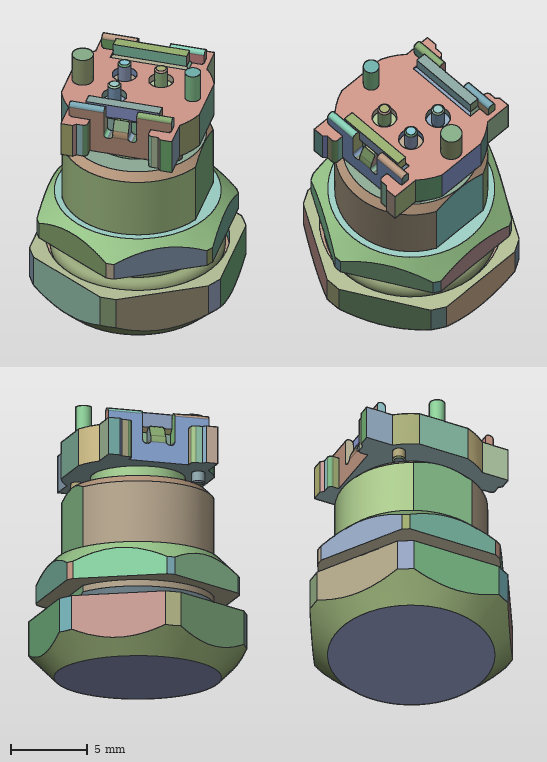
import cadquery as cq
import math

FLANGE_FLATS = 13.0
FLANGE_CORNERS = 14.38
FLANGE_HEIGHT = 4.0
FLANGE_FACE_RADIUS = 5.49

RING_TUBE_RADIUS = 0.63
RING_INNER_RADIUS = 4.5
RING_PROTRUSION = 0.25
RECESS_RADIUS = 6.03
RING_CENTER_RADIUS = RING_INNER_RADIUS + RING_TUBE_RADIUS
RING_TOP = FLANGE_HEIGHT + RING_PROTRUSION
RECESS_FLOOR = RING_TOP - 2 * RING_TUBE_RADIUS

BARREL_RADIUS = 5.02
BARREL_FLATS = 9.07
BARREL_TOP = 12.5
BARREL_CHAMFER = 0.5
BARREL_CONE_TOP = 4.86
BARREL_CONE_BOTTOM = BARREL_CONE_TOP - (BARREL_RADIUS - RING_INNER_RADIUS)

NUT_FLATS = 11.97
NUT_CORNERS = 13.52
NUT_BOTTOM = 5.3
NUT_HEIGHT = 2.47
NUT_FACE_RADIUS = 5.47

NECK_RADIUS = 3.11
PLATE_BOTTOM = 13.52
PLATE_TOP = 16.0
PLATE_THICKNESS = PLATE_TOP - PLATE_BOTTOM
PLATE_HALF_WIDTH = 4.7

EAR_OUTER_X = 3.78
EAR_OUTER_Y = 5.2
EAR_INNER_X = 2.07
EAR_STEP_X = 2.99
EAR_STEP_DEPTH = 0.22
EAR_CORNER_RADIUS = 0.27
BAY_WALL_Y = 4.27

RAIL_HALF_LENGTH = 3.5
RAIL_INNER_Y = 3.67
RAIL_HEIGHT = 0.97
RAIL_CROWN = 0.23
RAIL_END_CHAMFER = 0.15
BAR_HALF_LENGTH = 2.5
BAR_INNER_Y = 2.97
BAR_FOOT_FLARE = 0.16

NOTCH_HALF_WIDTH = 1.12
NOTCH_DEPTH = 1.26
NOTCH_CORNER_RADIUS = 0.25
NOTCH_UNDERCUT = 0.3
NOTCH_BACK_Y = RAIL_INNER_Y - NOTCH_UNDERCUT
TONGUE_HALF_WIDTH = 0.52
TONGUE_RISE = 0.04
TONGUE_TOP_Y = 3.83
TONGUE_NOSE_Y = 4.15
TONGUE_NOSE_DROP = 0.67
TONGUE_FOOT_DROP = 1.19
TONGUE_CORNER_RADIUS = 0.13

POST_TOP = 18.0
POST_X = 3.75
WIDE_POST_DIAMETER = 1.4
NARROW_POST_DIAMETER = 1.05
PEG_RADIUS = 0.43
PEG_LENGTH = 0.74
PEG_X = 3.31
PEG_Y = 2.6
PEG_CHAMFER = 0.09

CONTACT_RADIUS = 0.43
CONTACT_CHAMFER = 0.1
CONTACT_OFFSET = 1.25
CONTACT_TOP = PLATE_TOP + RAIL_HEIGHT
CONTACT_BOTTOM = PLATE_BOTTOM
CONTACT_WELL_RADIUS = 0.81
CONTACT_WELL_DEPTH = 0.5
CONTACT_PLACES = [
    (-CONTACT_OFFSET, CONTACT_OFFSET),
    (CONTACT_OFFSET, CONTACT_OFFSET),
    (-CONTACT_OFFSET, -CONTACT_OFFSET),
]


def cylinder(radius, bottom, top, x=0, y=0):
    return cq.Workplane("XY", origin=(x, y, bottom)).circle(radius).extrude(top - bottom)


def box(x_range, y_range, z_range):
    (x0, x1), (y0, y1), (z0, z1) = x_range, y_range, z_range
    return cq.Workplane("XY").box(x1 - x0, y1 - y0, z1 - z0, centered=False).translate((x0, y0, z0))


def revolved(points):
    """Solid of revolution about Z from (radius, z) points."""
    return cq.Workplane("XZ").polyline(points).close().revolve(360, (0, 0), (0, 1))


def truncated_hexagon(flats, corners, height):
    """Hexagonal prism with flats facing +X and -X and its corners cut flat."""
    to_corner = 1 / math.cos(math.pi / 6)
    corner_cut = cq.Workplane("XY").polygon(6, corners * to_corner).extrude(height)
    prism = cq.Workplane("XY").polygon(6, flats * to_corner).extrude(height)
    prism = prism.rotate((0, 0, 0), (0, 0, 1), 30)
    return prism.intersect(corner_cut)


def chamfered_hexagon(flats, corners, height, face_radius):
    """Truncated hexagon whose top corners are turned to a 45 degree cone."""
    cone = revolved(
        [(0, 0), (face_radius + height, 0), (face_radius, height), (0, height)]
    )
    return truncated_hexagon(flats, corners, height).intersect(cone)


def make_flange():
    flange = chamfered_hexagon(FLANGE_FLATS, FLANGE_CORNERS, FLANGE_HEIGHT, FLANGE_FACE_RADIUS)
    flange = flange.rotate((0, 0, 0), (1, 0, 0), 180).translate((0, 0, FLANGE_HEIGHT))
    return flange.cut(cylinder(RECESS_RADIUS, RECESS_FLOOR, FLANGE_HEIGHT))


def make_barrel():
    barrel = revolved(
        [
            (0, RECESS_FLOOR),
            (RING_INNER_RADIUS, RECESS_FLOOR),
            (RING_INNER_RADIUS, BARREL_CONE_BOTTOM),
            (BARREL_RADIUS, BARREL_CONE_TOP),
            (BARREL_RADIUS, BARREL_TOP - BARREL_CHAMFER),
            (BARREL_RADIUS - BARREL_CHAMFER, BARREL_TOP),
            (0, BARREL_TOP),
        ]
    )
    flats = box(
        (-BARREL_FLATS / 2, BARREL_FLATS / 2),
        (-BARREL_RADIUS, BARREL_RADIUS),
        (RECESS_FLOOR, BARREL_TOP),
    )
    return barrel.intersect(flats)


def make_bay_cutter():
    """Space between the two ears on the +Y side."""
    step_y = EAR_OUTER_Y - EAR_STEP_DEPTH
    right_side = [
        (EAR_STEP_X, EAR_OUTER_Y),
        (EAR_STEP_X - EAR_STEP_DEPTH, step_y),
        (EAR_INNER_X + EAR_CORNER_RADIUS, step_y),
    ]
    arc_reach = EAR_CORNER_RADIUS * (1 - math.sqrt(0.5))
    arc_middle = (EAR_INNER_X + arc_reach, step_y - arc_reach)
    arc_end = (EAR_INNER_X, step_y - EAR_CORNER_RADIUS)
    half = (
        cq.Workplane("XY", origin=(0, 0, PLATE_BOTTOM))
        .moveTo(0, EAR_OUTER_Y)
        .polyline(right_side, includeCurrent=True)
        .threePointArc(arc_middle, arc_end)
        .lineTo(EAR_INNER_X, BAY_WALL_Y)
        .lineTo(0, BAY_WALL_Y)
        .close()
        .extrude(PLATE_THICKNESS)
    )
    return half.union(half.mirror("YZ"))


def make_plate():
    disc = cylinder(BARREL_RADIUS, PLATE_BOTTOM, PLATE_TOP)
    disc = disc.intersect(
        box(
            (-PLATE_HALF_WIDTH, PLATE_HALF_WIDTH),
            (-BARREL_RADIUS, BARREL_RADIUS),
            (PLATE_BOTTOM, PLATE_TOP),
        )
    )
    ears = box(
        (-EAR_OUTER_X, EAR_OUTER_X),
        (-EAR_OUTER_Y, EAR_OUTER_Y),
        (PLATE_BOTTOM, PLATE_TOP),
    )
    bay = make_bay_cutter()
    return disc.union(ears).cut(bay).cut(bay.mirror("XZ"))


def make_rail():
    """Round-topped rail, with its backing bar, on the +Y side."""
    rail_top = PLATE_TOP + RAIL_HEIGHT
    rail = (
        cq.Workplane("YZ")
        .moveTo(RAIL_INNER_Y, PLATE_TOP)
        .lineTo(RAIL_INNER_Y, rail_top - RAIL_CROWN)
        .threePointArc(((RAIL_INNER_Y + BAY_WALL_Y) / 2, rail_top), (BAY_WALL_Y, rail_top - RAIL_CROWN))
        .lineTo(BAY_WALL_Y, PLATE_TOP)
        .close()
        .extrude(RAIL_HALF_LENGTH, both=True)
    )
    rail = rail.faces("<Z").edges("|Y").chamfer(RAIL_END_CHAMFER)
    bar = box(
        (-BAR_HALF_LENGTH, BAR_HALF_LENGTH),
        (BAR_INNER_Y, RAIL_INNER_Y),
        (PLATE_TOP, rail_top),
    )
    foot = box(
        (-BAR_HALF_LENGTH - BAR_FOOT_FLARE, BAR_HALF_LENGTH + BAR_FOOT_FLARE),
        (BAR_INNER_Y - BAR_FOOT_FLARE, RAIL_INNER_Y),
        (PLATE_TOP - BAR_FOOT_FLARE, PLATE_TOP + BAR_FOOT_FLARE),
    )
    foot = foot.faces(">Z").edges("<Y or <X or >X").chamfer(BAR_FOOT_FLARE)
    return rail.union(bar).union(foot)


def make_notch_block(x_start, x_end):
    """Stretch of the +Y notch, undercut below the backing bar."""
    floor = PLATE_TOP - NOTCH_DEPTH
    top = PLATE_TOP + RAIL_HEIGHT
    profile = [
        (RAIL_INNER_Y, top),
        (RAIL_INNER_Y, PLATE_TOP),
        (NOTCH_BACK_Y, PLATE_TOP - NOTCH_UNDERCUT),
        (NOTCH_BACK_Y, floor),
        (BAY_WALL_Y, floor),
        (BAY_WALL_Y, top),
    ]
    return cq.Workplane("YZ", origin=(x_start, 0, 0)).polyline(profile).close().extrude(x_end - x_start)


def make_notch_cutter():
    """The +Y notch: a slot with a rounded bottom on each side of the tongue, open above it."""
    slot = make_notch_block(TONGUE_HALF_WIDTH, NOTCH_HALF_WIDTH)
    slot = slot.faces("<Z").edges("|Y").fillet(NOTCH_CORNER_RADIUS)
    middle = make_notch_block(-TONGUE_HALF_WIDTH, TONGUE_HALF_WIDTH)
    return middle.union(slot).union(slot.mirror("YZ"))


def make_tongue():
    """Latch tongue in the middle of the +Y notch, curving down into the bay wall."""
    floor = PLATE_TOP - NOTCH_DEPTH
    top = PLATE_TOP + TONGUE_RISE
    tongue = (
        cq.Workplane("YZ")
        .moveTo(NOTCH_BACK_Y, floor)
        .lineTo(NOTCH_BACK_Y, top)
        .lineTo(TONGUE_TOP_Y, top)
        .lineTo(TONGUE_NOSE_Y, PLATE_TOP - TONGUE_NOSE_DROP)
        .tangentArcPoint((BAY_WALL_Y, PLATE_TOP - TONGUE_FOOT_DROP), relative=False)
        .lineTo(BAY_WALL_Y, floor)
        .close()
        .extrude(TONGUE_HALF_WIDTH, both=True)
    )
    rounded_front = box(
        (-TONGUE_HALF_WIDTH, TONGUE_HALF_WIDTH),
        (NOTCH_BACK_Y, BAY_WALL_Y),
        (floor, top),
    )
    rounded_front = rounded_front.faces(">Z").edges("|Y").fillet(TONGUE_CORNER_RADIUS)
    return tongue.intersect(rounded_front)


def make_peg(x, y):
    peg = cylinder(PEG_RADIUS, PLATE_BOTTOM - PEG_LENGTH, PLATE_BOTTOM, x, y)
    return peg.faces("<Z").chamfer(PEG_CHAMFER)


def make_contact(x, y):
    contact = cylinder(CONTACT_RADIUS, CONTACT_BOTTOM, CONTACT_TOP, x, y)
    return contact.faces(">Z").chamfer(CONTACT_CHAMFER)


def make_housing():
    """Flange, barrel and head plate with its rails, posts and pegs."""
    head = make_plate()
    rail = make_rail()
    notch = make_notch_cutter()
    tongue = make_tongue()
    head = head.union(rail).union(rail.mirror("XZ"))
    head = head.cut(notch).cut(notch.mirror("XZ"))
    head = head.union(tongue).union(tongue.mirror("XZ"))
    head = head.union(cylinder(WIDE_POST_DIAMETER / 2, PLATE_TOP, POST_TOP, x=-POST_X))
    head = head.union(cylinder(NARROW_POST_DIAMETER / 2, PLATE_TOP, POST_TOP, x=POST_X))
    head = head.union(make_peg(-PEG_X, PEG_Y)).union(make_peg(PEG_X, -PEG_Y))

    neck = cylinder(NECK_RADIUS, BARREL_TOP, PLATE_BOTTOM)
    housing = make_flange().union(make_barrel()).union(neck).union(head)
    for x, y in CONTACT_PLACES:
        well = cylinder(CONTACT_WELL_RADIUS, PLATE_TOP - CONTACT_WELL_DEPTH, PLATE_TOP, x, y)
        housing = housing.cut(well).cut(make_contact(x, y))
    return housing


def make_nut():
    """Hexagonal nut whose bore fits the flatted barrel."""
    nut = chamfered_hexagon(NUT_FLATS, NUT_CORNERS, NUT_HEIGHT, NUT_FACE_RADIUS)
    return nut.translate((0, 0, NUT_BOTTOM)).cut(make_barrel())


def make_sealing_ring():
    return (
        cq.Workplane("XZ")
        .center(RING_CENTER_RADIUS, RING_TOP - RING_TUBE_RADIUS)
        .circle(RING_TUBE_RADIUS)
        .revolve(360, (-RING_CENTER_RADIUS, 0), (-RING_CENTER_RADIUS, 1))
    )


housing = make_housing()
nut = make_nut()
sealing_ring = make_sealing_ring()
contacts = [make_contact(x, y) for x, y in CONTACT_PLACES]

result = cq.Compound.makeCompound(
    [housing.val(), nut.val(), sealing_ring.val(), *[contact.val() for contact in contacts]]
)